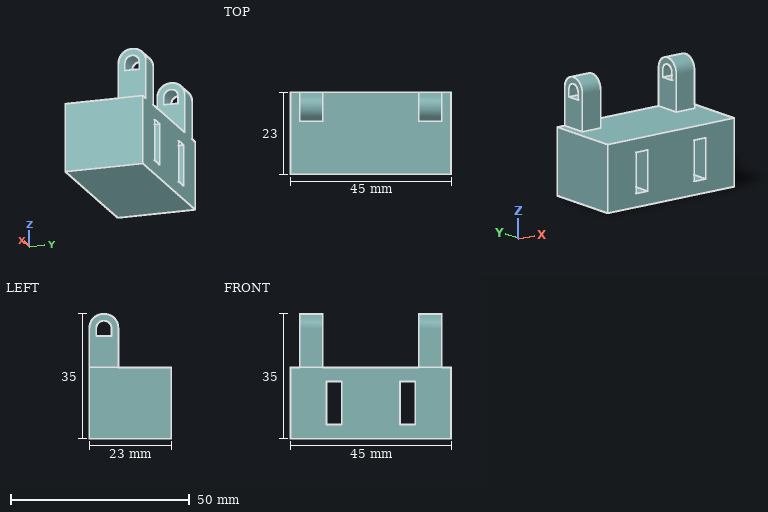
import cadquery as cq

block_length = 45.0
block_depth = 23.0
block_height = 20.0

slot_width = 4.2
slot_height = 12.0
slot_end_distance = 10.1

lug_width = 6.5
lug_depth = 8.2
lug_height = 15.0
lug_end_distance = 2.6
lug_corner_radius = 4.0

eye_wall = 2.0
eye_width = lug_depth - 2 * eye_wall
eye_height = 4.2
eye_corner_radius = lug_corner_radius - eye_wall


def rounded_bar(depth, height, base_z, corner_radius, start_x):
    """Bar along X, as long as a lug is wide, with its two upper edges rounded."""
    center_y = block_depth - lug_depth / 2
    return (
        cq.Workplane("XY", origin=(start_x, center_y - depth / 2, base_z))
        .box(lug_width, depth, height, centered=False)
        .edges("|X and >Z")
        .fillet(corner_radius)
    )


def lug(start_x):
    """Lug standing on the block, pierced along X by its eye."""
    eye_base_z = block_height + lug_height - eye_wall - eye_height
    body = rounded_bar(lug_depth, lug_height, block_height, lug_corner_radius, start_x)
    eye = rounded_bar(eye_width, eye_height, eye_base_z, eye_corner_radius, start_x)
    return body.cut(eye)


def slot(start_x):
    """Cutter for one slot, centred on the height of the block."""
    base_z = (block_height - slot_height) / 2
    return cq.Workplane("XY", origin=(start_x, 0, base_z)).box(
        slot_width, block_depth, slot_height, centered=False
    )


def both_ends(end_distance, width):
    """Starting X of a feature and of its mirror image at the other end."""
    return [end_distance, block_length - end_distance - width]


result = cq.Workplane("XY").box(block_length, block_depth, block_height, centered=False)

for slot_x in both_ends(slot_end_distance, slot_width):
    result = result.cut(slot(slot_x))

for lug_x in both_ends(lug_end_distance, lug_width):
    result = result.union(lug(lug_x))